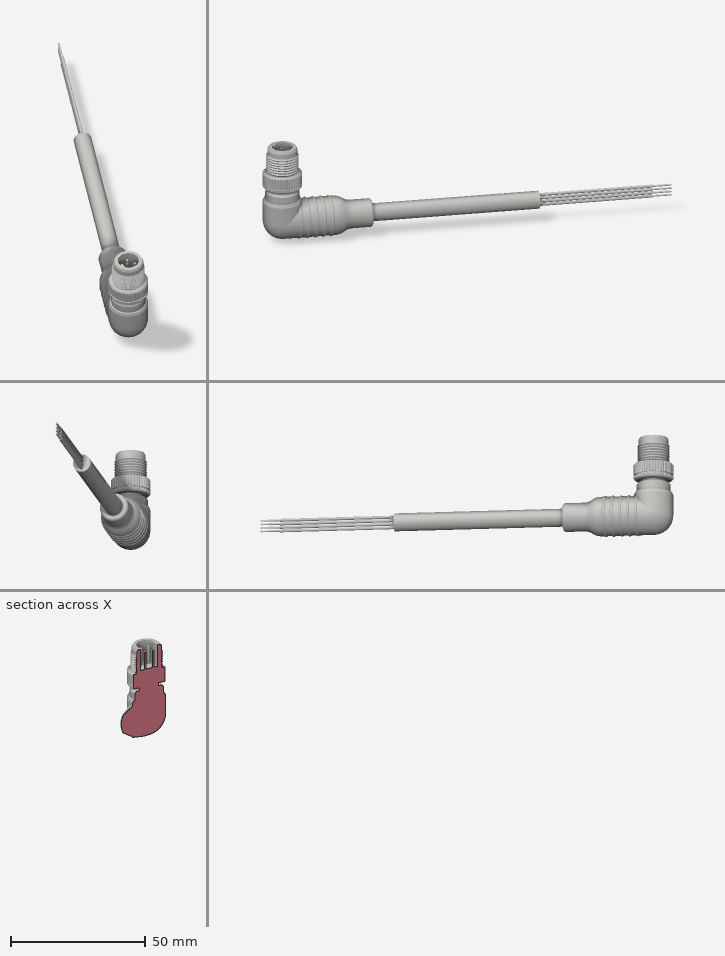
import cadquery as cq
import math


overall = 112.0
cable_turn = -45.0

elbow_r = 7.4
elbow_top = 8.6
elbow_chamfer_w = 0.5
elbow_chamfer_h = 1.1
body_end = 19.8

ring_r = 7.7
ring_width = 1.1
ring_pitch = 3.0
ring_first = 5.9
ring_count = 5
ring_embed = 0.6

collar_r = 5.4
collar_start = 25.8
collar_end = 33.9
collar_round = 1.0
flare_split = 0.45

cable_r = 3.4
cable_end = 97.3
wire_count = 4
wire_pitch = 1.3
wire_r = 0.6
wire_end = 140.4
wire_embed = 2.2
conductor_r = 0.3
conductor_end = (overall - elbow_r) * math.sqrt(2) - conductor_r

plug_top = 29.6
flange_r = 6.4
flange_top = 12.3
flange_chamfer = 0.8
neck_r = 4.5
nut_bottom = 13.3
nut_top = 19.6
nut_r = elbow_r
nut_chamfer = 0.6
nut_groove_z = 15.0
nut_groove_width = 0.6
nut_groove_depth = 0.5
knurl_count = 40
knurl_depth = 0.3
notch_share = 0.6
sleeve_r = 5.6
sleeve_chamfer_w = 0.5
sleeve_chamfer_h = 0.9

thread_r = 6.0
thread_top = 26.8
thread_pitch = 1.0
ridge_count = round((thread_top - nut_top) / thread_pitch)

bore_r = 3.9
bore_depth = 9.0
pin_r = 0.5
pin_spacing = 3.4
pin_recess = 1.8
key_width = 1.8
key_inner = 3.2
key_embed = 0.6


def rod(radius, start, end, z=0.0):
    """Round bar along -X between two distances from the plug axis."""
    return cq.Workplane("YZ", origin=(-start, 0, z)).circle(radius).extrude(start - end)


def disc(radius, bottom, top):
    """Round bar along +Z between two heights."""
    return cq.Workplane("XY").workplane(offset=bottom).circle(radius).extrude(top - bottom)


def make_ring(centre):
    """Grip ring with a rounded crest, centred at a distance along the cable axis."""
    foot_r = elbow_r - ring_embed
    front = -centre + ring_width / 2
    back = -centre - ring_width / 2
    return (
        cq.Workplane("XZ")
        .moveTo(front, foot_r)
        .lineTo(front, elbow_r)
        .threePointArc((-centre, ring_r), (back, elbow_r))
        .lineTo(back, foot_r)
        .close()
        .revolve(360, (0, 0, 0), (1, 0, 0))
    )


def make_boot():
    """Housing barrel, S-shaped flare and collar turned about the cable axis."""
    flare_mid = (
        -collar_start + flare_split * (collar_start - body_end),
        collar_r + flare_split * (elbow_r - collar_r),
    )
    boot = (
        cq.Workplane("XZ")
        .moveTo(0, 0)
        .lineTo(-collar_end, 0)
        .lineTo(-collar_end, collar_r - collar_round)
        .tangentArcPoint((-collar_end + collar_round, collar_r), relative=False)
        .lineTo(-collar_start, collar_r)
        .tangentArcPoint(flare_mid, relative=False)
        .tangentArcPoint((-body_end, elbow_r), relative=False)
        .lineTo(0, elbow_r)
        .close()
        .revolve(360, (0, 0, 0), (1, 0, 0))
    )
    for i in range(ring_count):
        centre = ring_first + i * ring_pitch
        boot = boot.union(make_ring(centre))
    return boot


def make_cable():
    """Jacket with a vertical row of wires, each with a bare end."""
    cable = rod(cable_r, collar_start, cable_end)
    for i in range(wire_count):
        z = (i - (wire_count - 1) / 2) * wire_pitch
        cable = cable.union(rod(wire_r, cable_end - wire_embed, wire_end, z))
        cable = cable.union(rod(conductor_r, wire_end - wire_embed, conductor_end, z))
    return cable


def make_elbow():
    """Upright housing cylinder closed by a ball at the corner."""
    upright = disc(elbow_r, 0, elbow_top)
    upright = upright.faces(">Z").chamfer(elbow_chamfer_h, elbow_chamfer_w)
    flange = disc(flange_r, 0, flange_top).faces(">Z").chamfer(flange_chamfer)
    return cq.Workplane("XY").sphere(elbow_r).union(upright).union(flange)


def make_nut():
    """Knurled coupling nut with a groove round it below mid-height."""
    nut = disc(nut_r, nut_bottom, nut_top).faces("<Z or >Z").chamfer(nut_chamfer)
    groove = disc(nut_r, nut_groove_z - nut_groove_width / 2, nut_groove_z + nut_groove_width / 2)
    nut = nut.cut(groove.cut(disc(nut_r - nut_groove_depth, nut_bottom, nut_top)))

    half_width = notch_share * math.pi * nut_r / knurl_count
    notch = (
        cq.Workplane("XY")
        .workplane(offset=nut_bottom)
        .moveTo(nut_r - knurl_depth, 0)
        .lineTo(nut_r, half_width)
        .lineTo(nut_r + knurl_depth, half_width)
        .lineTo(nut_r + knurl_depth, -half_width)
        .lineTo(nut_r, -half_width)
        .close()
        .extrude(nut_top - nut_bottom)
    )
    step = 360 / knurl_count
    notches = [notch.rotate((0, 0, 0), (0, 0, 1), (i + 0.5) * step).val() for i in range(knurl_count)]
    return nut.cut(cq.Workplane(cq.Compound.makeCompound(notches)))


def make_sleeve():
    """Threaded sleeve on its neck, turned about the plug axis."""
    profile = (
        cq.Workplane("XZ")
        .moveTo(0, flange_top - flange_chamfer)
        .lineTo(neck_r, flange_top - flange_chamfer)
        .lineTo(neck_r, nut_bottom)
        .lineTo(sleeve_r, nut_bottom)
    )
    thread_bottom = thread_top - ridge_count * thread_pitch
    for i in range(ridge_count):
        root_z = thread_bottom + i * thread_pitch
        profile = profile.lineTo(sleeve_r, root_z)
        profile = profile.lineTo(thread_r, root_z + thread_pitch / 2)
    return (
        profile.lineTo(sleeve_r, thread_top)
        .lineTo(sleeve_r, plug_top - sleeve_chamfer_h)
        .lineTo(sleeve_r - sleeve_chamfer_w, plug_top)
        .lineTo(0, plug_top)
        .close()
        .revolve(360, (0, 0, 0), (0, 1, 0))
    )


def make_socket_core():
    """Material left standing in the bore: four pins and the key on the -Y side."""
    bore_floor = plug_top - bore_depth
    pins = (
        cq.Workplane("XY")
        .workplane(offset=bore_floor)
        .rect(pin_spacing, pin_spacing, forConstruction=True)
        .vertices()
        .circle(pin_r)
        .extrude(bore_depth - pin_recess)
    )
    key_outer = bore_r + key_embed
    key = (
        cq.Workplane("XY")
        .workplane(offset=bore_floor)
        .center(0, -(key_inner + key_outer) / 2)
        .rect(key_width, key_outer - key_inner)
        .extrude(bore_depth)
    )
    return pins.union(key)


cable_side = make_boot().union(make_cable()).rotate((0, 0, 0), (0, 0, 1), cable_turn)
plug = make_sleeve().union(make_nut())
plug = plug.cut(disc(bore_r, plug_top - bore_depth, plug_top)).union(make_socket_core())
result = make_elbow().union(cable_side).union(plug)